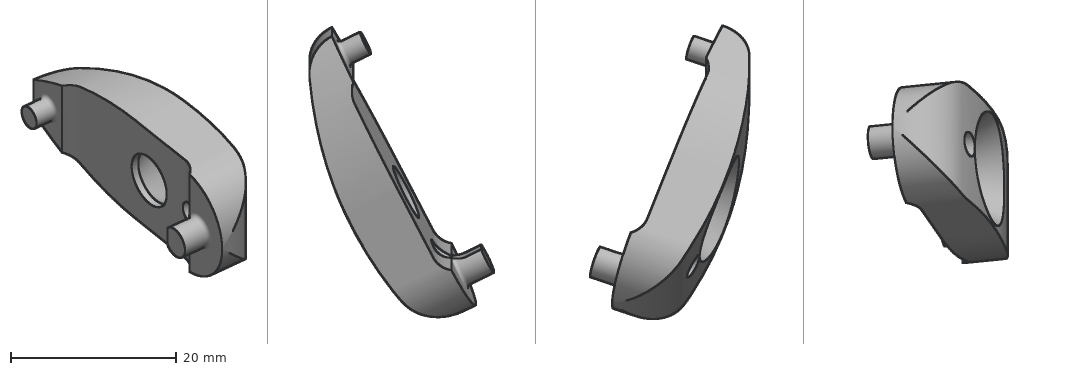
import cadquery as cq
import math

length = 38.0
width = 15.0
cutter_reach = width

narrow_end_width = 5.0
taper_radius = 40.0
round_end_radius = width / 2

crown_radius = 50.0
narrow_nose_radius = 5.0
round_nose_radius = 7.3
narrow_foot_depth = 1.0
round_foot_depth = 1.25
narrow_nose_x = narrow_nose_radius
round_nose_x = length - round_nose_radius

relief_start = 5.0
relief_end = 32.0
relief_radius = 3.0

narrow_pin_x = 3.08
narrow_pin_diameter = 3.0
narrow_pin_tip = 4.0
round_pin_x = 33.5
round_pin_diameter = 4.0
round_pin_tip = 5.0
pin_fillet = 0.5

main_hole_x = 21.8
main_hole_diameter = 7.0
small_hole_x = 30.0
small_hole_diameter = 3.0
countersink_angle = 60.0
countersink_start = 1.0
countersink_top = 10.0


def plan_prism():
    """Plan outline, extruded through more than the whole thickness."""
    half_width = width / 2
    half_end = narrow_end_width / 2
    taper_center_z = half_width - taper_radius
    taper_end_x = math.sqrt(taper_radius**2 - (half_end - taper_center_z) ** 2)
    taper_mid_x = taper_end_x / 2
    taper_mid_z = taper_center_z + math.sqrt(taper_radius**2 - (taper_end_x - taper_mid_x) ** 2)
    round_center_x = length - round_end_radius
    return (
        cq.Workplane("XZ")
        .moveTo(0, -half_end)
        .lineTo(0, half_end)
        .threePointArc((taper_mid_x, taper_mid_z), (taper_end_x, half_width))
        .lineTo(round_center_x, half_width)
        .threePointArc((length, 0), (round_center_x, -half_width))
        .lineTo(taper_end_x, -half_width)
        .threePointArc((taper_mid_x, -taper_mid_z), (0, -half_end))
        .close()
        .extrude(cutter_reach, both=True)
    )


def crown_center():
    """Centre of the crown arc, which is tangent internally to both nose arcs."""
    narrow_distance = crown_radius - narrow_nose_radius
    round_distance = crown_radius - round_nose_radius
    run = round_nose_x - narrow_nose_x
    drop = narrow_foot_depth - round_foot_depth
    span = math.hypot(run, drop)
    along = (narrow_distance**2 - round_distance**2 + span**2) / (2 * span)
    across = math.sqrt(narrow_distance**2 - along**2)
    return (
        narrow_nose_x + (along * run + across * drop) / span,
        -narrow_foot_depth + (along * drop - across * run) / span,
    )


def side_prism():
    """Crowned side profile with a step between the two feet, extruded beyond the width."""
    center_x, center_y = crown_center()
    crown_top = (center_x, center_y + crown_radius)

    def nose_point(nose_x, foot_depth, radius, angle):
        return (nose_x + radius * math.cos(angle), -foot_depth + radius * math.sin(angle))

    narrow_nose = (narrow_nose_x, narrow_foot_depth, narrow_nose_radius)
    round_nose = (round_nose_x, round_foot_depth, round_nose_radius)
    narrow_angle = math.atan2(-narrow_foot_depth - center_y, narrow_nose_x - center_x)
    round_angle = math.atan2(-round_foot_depth - center_y, round_nose_x - center_x)
    narrow_mid_angle = (math.pi + narrow_angle) / 2
    round_mid_angle = round_angle / 2
    step_x = (relief_start + relief_end) / 2
    return (
        cq.Workplane("XY", origin=(0, 0, -width))
        .moveTo(0, -narrow_foot_depth)
        .threePointArc(nose_point(*narrow_nose, narrow_mid_angle), nose_point(*narrow_nose, narrow_angle))
        .threePointArc(crown_top, nose_point(*round_nose, round_angle))
        .threePointArc(nose_point(*round_nose, round_mid_angle), (length, -round_foot_depth))
        .lineTo(step_x, -round_foot_depth)
        .lineTo(step_x, -narrow_foot_depth)
        .close()
        .extrude(2 * width)
    )


def pin(x, diameter, foot_depth, tip_depth):
    """Round pin along -Y with a concave fillet at its root, reaching up to the underside."""
    radius = diameter / 2
    root_radius = radius + pin_fillet
    blend = pin_fillet * (1 - math.sqrt(0.5))
    return (
        cq.Workplane("XY")
        .moveTo(0, 0)
        .lineTo(0, -tip_depth)
        .lineTo(radius, -tip_depth)
        .lineTo(radius, -foot_depth - pin_fillet)
        .threePointArc((radius + blend, -foot_depth - blend), (root_radius, -foot_depth))
        .lineTo(root_radius, 0)
        .close()
        .revolve(360, (0, 0, 0), (0, 1, 0))
        .translate((x, 0, 0))
    )


def relief():
    """Slot across the width below the underside, rounded where it runs into the feet.

    It also trims the larger pin to a flat.
    """
    depth = round_pin_tip + relief_radius
    return (
        cq.Workplane("XY")
        .center((relief_start + relief_end) / 2, -depth / 2)
        .rect(relief_end - relief_start, depth)
        .extrude(width, both=True)
        .edges("|Z and >Y")
        .fillet(relief_radius)
    )


def through_hole(x, diameter):
    """Round cutter along Y through the whole thickness."""
    return cq.Workplane("XZ").center(x, 0).circle(diameter / 2).extrude(cutter_reach, both=True)


def countersink():
    """Cone widening from the main hole out through the crown."""
    hole_radius = main_hole_diameter / 2
    widening = (countersink_top - countersink_start) * math.tan(math.radians(countersink_angle / 2))
    return (
        cq.Workplane("XY")
        .moveTo(0, countersink_start)
        .lineTo(hole_radius, countersink_start)
        .lineTo(hole_radius + widening, countersink_top)
        .lineTo(0, countersink_top)
        .close()
        .revolve(360, (0, 0, 0), (0, 1, 0))
        .translate((main_hole_x, 0, 0))
    )


body = plan_prism().intersect(side_prism())
body = body.union(pin(narrow_pin_x, narrow_pin_diameter, narrow_foot_depth, narrow_pin_tip))
body = body.union(pin(round_pin_x, round_pin_diameter, round_foot_depth, round_pin_tip))
body = body.cut(relief())
body = body.cut(through_hole(main_hole_x, main_hole_diameter))
body = body.cut(through_hole(small_hole_x, small_hole_diameter))
result = body.cut(countersink())